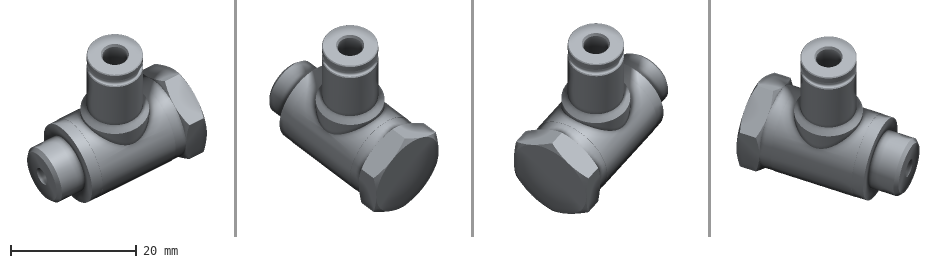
import cadquery as cq
import math


body_diameter = 14.0
body_length = 14.0
washer_diameter = 13.9
washer_thickness = 2.0
hex_across_flats = 14.0
hex_height = 4.0
hex_sides = 6
hex_chamfer_angle = math.radians(30)

thread_diameter = 9.73
thread_length = 5.0
thread_chamfer = 0.6

port_base_diameter = 11.0
port_diameter = 9.0
port_cone_height = 1.0
port_cone_top = 8.6
port_top = 17.85
port_edge_chamfer = 0.15

collar_neck_diameter = 5.2
collar_bottom = 19.25
collar_top = 20.5

tube_bore_diameter = 4.0
tube_bore_bottom = port_cone_top
mouth_chamfer_width = 0.25
mouth_chamfer_depth = 0.43
passage_diameter = 3.0

body_back = body_length / 2
body_front = -body_length / 2
head_start = body_back + washer_thickness
head_end = head_start + hex_height
thread_start = body_front - washer_thickness
thread_end = thread_start - thread_length


def cylinder_along_y(diameter, y_start, y_end):
    """Solid cylinder on the screw axis between two Y stations."""
    start_plane = cq.Plane(origin=(0, y_start, 0), xDir=(1, 0, 0), normal=(0, 1, 0))
    return cq.Workplane(start_plane).circle(diameter / 2).extrude(y_end - y_start)


def cylinder_along_z(diameter, z_bottom, z_top):
    """Solid cylinder on the port axis between two heights."""
    start_plane = cq.Workplane("XY").workplane(offset=z_bottom)
    return start_plane.circle(diameter / 2).extrude(z_top - z_bottom)


def make_hex_head():
    """Hexagon with corners up and down, both ends turned to a cone that trims the corners."""
    flat_radius = hex_across_flats / 2
    corner_radius = hex_across_flats / math.sqrt(3)
    corner_drop = (corner_radius - flat_radius) * math.tan(hex_chamfer_angle)
    corners = []
    for index in range(hex_sides):
        angle = math.pi / 2 + index * 2 * math.pi / hex_sides
        corners.append((corner_radius * math.cos(angle), corner_radius * math.sin(angle)))
    start_plane = cq.Plane(origin=(0, head_start, 0), xDir=(1, 0, 0), normal=(0, 1, 0))
    hexagon = cq.Workplane(start_plane).polyline(corners).close().extrude(hex_height)
    turned_blank = (
        cq.Workplane("XY")
        .moveTo(0, head_start)
        .lineTo(flat_radius, head_start)
        .lineTo(corner_radius, head_start + corner_drop)
        .lineTo(corner_radius, head_end - corner_drop)
        .lineTo(flat_radius, head_end)
        .lineTo(0, head_end)
        .close()
        .revolve(360, (0, 0, 0), (0, 1, 0))
    )
    return hexagon.intersect(turned_blank)


def make_screw_axis_parts():
    """Body, washers and chamfered threaded end, stacked along Y."""
    body = cylinder_along_y(body_diameter, body_front, body_back)
    back_washer = cylinder_along_y(washer_diameter, body_back, head_start)
    front_washer = cylinder_along_y(washer_diameter, thread_start, body_front)
    thread = cylinder_along_y(thread_diameter, thread_end, thread_start)
    thread = thread.faces("<Y").chamfer(thread_chamfer)
    return body.union(back_washer).union(front_washer).union(thread)


def make_tube_port():
    """Port with a conical shoulder, carrying the release collar on a narrow neck."""
    base = cylinder_along_z(port_base_diameter, 0, port_cone_top)
    shoulder_width = (port_base_diameter - port_diameter) / 2
    base = base.faces(">Z").chamfer(port_cone_height, shoulder_width)
    sleeve = cylinder_along_z(port_diameter, port_cone_top, port_top)
    sleeve = sleeve.faces(">Z").chamfer(port_edge_chamfer)
    neck = cylinder_along_z(collar_neck_diameter, port_top, collar_bottom)
    collar = cylinder_along_z(port_diameter, collar_bottom, collar_top)
    collar = collar.faces(">Z").chamfer(port_edge_chamfer)
    return base.union(sleeve).union(neck).union(collar)


def make_flow_passage():
    """Tube bore with a chamfered mouth, then a narrower elbow with a spherical corner."""
    bore_radius = tube_bore_diameter / 2
    mouth = cq.Workplane("XY").add(
        cq.Solid.makeCone(
            bore_radius,
            bore_radius + mouth_chamfer_width,
            mouth_chamfer_depth,
            cq.Vector(0, 0, collar_top - mouth_chamfer_depth),
        )
    )
    tube_bore = cylinder_along_z(tube_bore_diameter, tube_bore_bottom, collar_top)
    upright_leg = cylinder_along_z(passage_diameter, 0, tube_bore_bottom)
    screw_leg = cylinder_along_y(passage_diameter, thread_end, 0)
    corner = cq.Workplane("XY").sphere(passage_diameter / 2)
    return mouth.union(tube_bore).union(upright_leg).union(screw_leg).union(corner)


fitting = make_screw_axis_parts().union(make_hex_head()).union(make_tube_port())
result = fitting.cut(make_flow_passage())